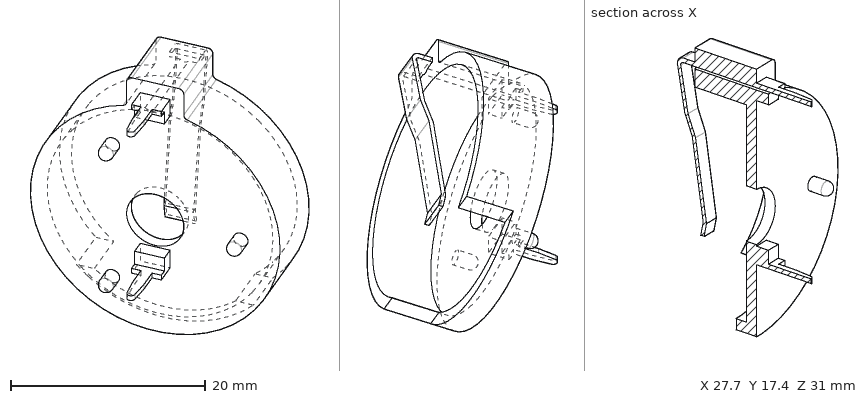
import cadquery as cq
import math


cup_radius = 13.87
cup_depth = 8.0
wall = 1.33
pocket_radius = cup_radius - wall
low_rim_height = 2 * wall
low_rim_top = -9.78
floor_hole_diameter = 6.35

tab_top = 17.1
tab_width = floor_hole_diameter
tab_fillet = 0.6
root_fillet = 0.53

peg_count = 3
peg_radius = 0.8
peg_length = 2.55
peg_circle_radius = 9.5

strip_width = 3.3
strip_thickness = 0.6
upper_strip_top = 15.48
upper_strip_bottom = upper_strip_top - strip_thickness
lower_strip_top = -4.95
block_length = 1.55
upper_block_height = 1.5
lower_block_height = 1.6
shoulder_length = 2.38
taper_start = 4.6
taper_end = 6.65
pin_length = 7.05
pin_width = 1.25
pin_tip_width = 0.87
groove_width = 1.0
groove_depth = 0.22

spring_reach = 2.3
bend_outer_radius = 0.85
bend_inner_radius = 0.28
spring_thickness = 0.5
arm_lean = math.radians(10)
arm_end_z = 9.23
knee_y = cup_depth + 0.37
knee_z = 6.75
contact_lean = math.radians(8.5)
contact_end_z = -2.72
tip_lean = math.radians(11)
spring_tip_z = -4.33


def block(width, y_start, y_end, z_bottom, z_top):
    """Box centred on x = 0 between the given Y and Z limits."""
    return (
        cq.Workplane("XY")
        .box(width, y_end - y_start, z_top - z_bottom, centered=(True, False, False))
        .translate((0, y_start, z_bottom))
    )


def cylinder(radius, y_start, y_end):
    """Cylinder around the Y axis between the given Y limits."""
    return (
        cq.Workplane("XZ", origin=(0, y_start, 0))
        .circle(radius)
        .extrude(y_start - y_end)
    )


def make_cup():
    tab = block(tab_width, 0, cup_depth, 0, tab_top).edges("|Y and >Z").fillet(tab_fillet)
    cup = cylinder(cup_radius, 0, cup_depth).union(tab)
    root_box = cq.selectors.BoxSelector(
        (-tab_width, 0, cup_radius - wall),
        (tab_width, cup_depth, cup_radius),
    )
    cup = cup.edges("|Y").edges(root_box).fillet(root_fillet)
    cup = cup.cut(cylinder(pocket_radius, wall, cup_depth))
    cup = cup.cut(cylinder(floor_hole_diameter / 2, 0, wall))
    return cup.cut(block(2 * cup_radius, low_rim_height, cup_depth, -cup_radius, low_rim_top))


def make_peg(angle):
    """Round-ended peg standing on the mounting face."""
    straight_length = peg_length - peg_radius
    tip = cq.Workplane("XY").sphere(peg_radius).translate((0, -straight_length, 0))
    peg = cylinder(peg_radius, -straight_length, 0).union(tip)
    return peg.translate(
        (peg_circle_radius * math.cos(angle), 0, peg_circle_radius * math.sin(angle))
    )


def make_pin(z_bottom):
    """Flat terminal with shoulders and a tapered, rounded pin."""
    return (
        cq.Workplane("XY", origin=(0, 0, z_bottom))
        .moveTo(-strip_width / 2, 0)
        .lineTo(-strip_width / 2, -shoulder_length)
        .lineTo(-pin_width / 2, -shoulder_length)
        .lineTo(-pin_width / 2, -taper_start)
        .lineTo(-pin_tip_width / 2, -taper_end)
        .threePointArc((0, -pin_length), (pin_tip_width / 2, -taper_end))
        .lineTo(pin_width / 2, -taper_start)
        .lineTo(pin_width / 2, -shoulder_length)
        .lineTo(strip_width / 2, -shoulder_length)
        .lineTo(strip_width / 2, 0)
        .close()
        .extrude(strip_thickness)
    )


def make_groove():
    """Shallow round-bottomed groove under the upper strip, through block and tab."""
    return (
        cq.Workplane("XZ", origin=(0, -block_length, 0))
        .moveTo(-groove_width / 2, upper_strip_bottom)
        .threePointArc(
            (0, upper_strip_bottom - groove_depth),
            (groove_width / 2, upper_strip_bottom),
        )
        .close()
        .extrude(-(block_length + cup_depth))
    )


def make_spring():
    """Strip through the tab, bent back over the rim and down into the cup."""
    bend_y = cup_depth + spring_reach - bend_outer_radius
    bend_z = upper_strip_top - bend_outer_radius
    tangent_y = bend_y + bend_outer_radius * math.cos(arm_lean)
    tangent_z = bend_z - bend_outer_radius * math.sin(arm_lean)

    def arm_y(z):
        return tangent_y + (z - tangent_z) * math.tan(arm_lean)

    contact_end_y = knee_y - (knee_z - contact_end_z) * math.tan(contact_lean)
    tip_y = contact_end_y + (contact_end_z - spring_tip_z) * math.tan(tip_lean)
    outer_face = [
        (arm_y(arm_end_z), arm_end_z),
        (knee_y, knee_z),
        (contact_end_y, contact_end_z),
        (tip_y, spring_tip_z),
    ]
    inner_face = [(y - spring_thickness, z) for y, z in reversed(outer_face)]
    outer_corner = (arm_y(upper_strip_top), upper_strip_top)
    inner_corner = (arm_y(upper_strip_bottom) - spring_thickness, upper_strip_bottom)
    strip_start = [(0, upper_strip_bottom), (0, upper_strip_top)]

    spring = (
        cq.Workplane("YZ")
        .polyline(strip_start + [outer_corner] + outer_face + inner_face + [inner_corner])
        .close()
        .extrude(strip_width / 2, both=True)
    )
    for corner, radius in ((outer_corner, bend_outer_radius), (inner_corner, bend_inner_radius)):
        corner_edge = cq.selectors.NearestToPointSelector((0, *corner))
        spring = spring.edges("|X").edges(corner_edge).fillet(radius)
    return spring


upper_block = block(
    strip_width, -block_length, 0, upper_strip_bottom - upper_block_height, upper_strip_bottom
)
lower_block = block(
    strip_width, -block_length, 0, lower_strip_top, lower_strip_top + lower_block_height
)

result = make_cup().union(upper_block).union(lower_block).cut(make_groove())
for peg_index in range(peg_count):
    result = result.union(make_peg(2 * math.pi * peg_index / peg_count))
for pin_bottom in (upper_strip_bottom, lower_strip_top - strip_thickness):
    result = result.union(make_pin(pin_bottom))
result = result.union(make_spring())